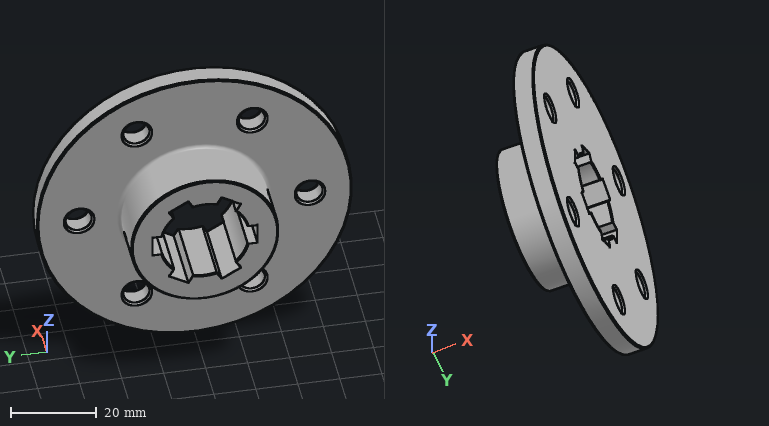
import cadquery as cq

total_length = 18.0
flange_diameter = 75.0
flange_thickness = 5.25
hub_diameter = 35.0
hub_fillet = 1.0
edge_chamfer = 0.3

bore_diameter = 21.0
bore_chamfer = 0.2
spline_count = 6
spline_tip_to_tip = 25.0
spline_width = 5.25

bolt_count = 6
bolt_circle_diameter = 55.0
bolt_hole_diameter = 6.2
bolt_hole_chamfer = 0.5

flange_face = total_length - flange_thickness


def make_body():
    """Flange and hub turned from one profile, with broken edges and a filleted junction."""
    hub_radius = hub_diameter / 2
    flange_radius = flange_diameter / 2
    profile = (
        cq.Workplane("XY")
        .moveTo(0, 0)
        .lineTo(0, hub_radius - edge_chamfer)
        .lineTo(edge_chamfer, hub_radius)
        .lineTo(flange_face - hub_fillet, hub_radius)
        .radiusArc((flange_face, hub_radius + hub_fillet), -hub_fillet)
        .lineTo(flange_face, flange_radius - edge_chamfer)
        .lineTo(flange_face + edge_chamfer, flange_radius)
        .lineTo(total_length - edge_chamfer, flange_radius)
        .lineTo(total_length, flange_radius - edge_chamfer)
        .lineTo(total_length, 0)
        .close()
    )
    return profile.revolve(360, (0, 0, 0), (1, 0, 0))


def make_chamfered_cutter(start, length, diameter, chamfer):
    """Cutter for a through hole along X that is chamfered at both ends."""
    radius = diameter / 2
    end = start + length
    profile = [
        (start, 0),
        (start, radius + chamfer),
        (start + chamfer, radius),
        (end - chamfer, radius),
        (end, radius + chamfer),
        (end, 0),
    ]
    return cq.Workplane("XY").polyline(profile).close().revolve(360, (0, 0, 0), (1, 0, 0))


def cut_splined_bore(body):
    """Chamfered bore with flat-bottomed spline slots through the full length."""
    body = body.cut(make_chamfered_cutter(0, total_length, bore_diameter, bore_chamfer))
    slot_reach = spline_tip_to_tip / 2
    slot = cq.Workplane("XY").box(
        total_length, slot_reach, spline_width, centered=(False, False, True)
    )
    for index in range(spline_count):
        angle = index * 360 / spline_count
        body = body.cut(slot.rotate((0, 0, 0), (1, 0, 0), angle))
    return body


def cut_bolt_holes(body):
    """Evenly spaced chamfered holes through the flange."""
    hole = make_chamfered_cutter(
        flange_face, flange_thickness, bolt_hole_diameter, bolt_hole_chamfer
    ).translate((0, bolt_circle_diameter / 2, 0))
    for index in range(bolt_count):
        angle = index * 360 / bolt_count
        body = body.cut(hole.rotate((0, 0, 0), (1, 0, 0), angle))
    return body


result = cut_bolt_holes(cut_splined_bore(make_body()))